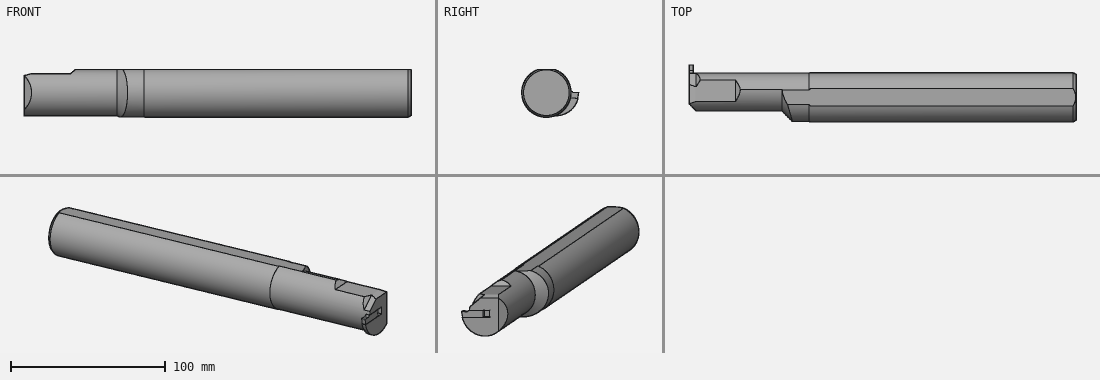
import cadquery as cq
import math

TOTAL_LENGTH = 250.0
SHANK_RADIUS = 16.0
COLLAR_RADIUS = 15.8
FLAT_HEIGHT = 15.0
SHANK_START = 77.5
END_CHAMFER_LENGTH = 2.0
END_CHAMFER_DEPTH = 1.2
COLLAR_STEP_LENGTH = 0.8

HEAD_RADIUS = 15.0
HEAD_OFFSET = 6.0
HEAD_LENGTH = 60.0
SIDE_CHAMFER = 4.8

HEAD_FLAT_HEIGHT = 12.0
HEAD_FLAT_END = 29.8
NOSE_BEVEL_LENGTH = 4.2
NOSE_BEVEL_DEPTH = 1.2
TILT = 4.5

CLEARANCE_LENGTH = 4.5
CLEARANCE_ANGLE = 42.0
CLEARANCE_Y = 9.0
CLEARANCE_Z = 9.5
CLEARANCE_DEPTH = 7.5

BLADE_THICKNESS = 2.8
TIP_Y = 21.0
INSERT_INNER_Y = 6.2
RECESS_INNER_Y = 1.8
SEAT_HEIGHT = -2.12
INSERT_HEIGHT = 4.8
RAKE_HEIGHT = 0.2
RAKE_START_Y = 17.2
RAKE_RISE_Y = 15.8
TIP_RELIEF = 0.8

SLOPE = math.tan(math.radians(TILT))
BIG = 4 * SHANK_RADIUS


def seat_z(y):
    return SEAT_HEIGHT - SLOPE * y


def insert_top_z(y):
    return seat_z(y) + INSERT_HEIGHT


def section_prism(points, length):
    """Extrude a (y, z) outline along +X from the front face."""
    return cq.Workplane("YZ").polyline(points).close().extrude(length)


def make_shank():
    """Collar and shank turned about the X axis, with the long top flat."""
    profile = [
        (0, 0),
        (0, COLLAR_RADIUS),
        (SHANK_START, COLLAR_RADIUS),
        (SHANK_START + COLLAR_STEP_LENGTH, SHANK_RADIUS),
        (TOTAL_LENGTH - END_CHAMFER_LENGTH, SHANK_RADIUS),
        (TOTAL_LENGTH, SHANK_RADIUS - END_CHAMFER_DEPTH),
        (TOTAL_LENGTH, 0),
    ]
    shank = cq.Workplane("XY").polyline(profile).close().revolve(360, (0, 0, 0), (1, 0, 0))
    above_flat = cq.Workplane("XY").box(TOTAL_LENGTH, BIG, BIG, centered=(False, True, False))
    return shank.cut(above_flat.translate((0, 0, FLAT_HEIGHT)))


def make_head_envelope():
    """Offset head cylinder opening through a 45 degree cone behind the head."""
    profile = [
        (0, 0),
        (0, HEAD_RADIUS),
        (HEAD_LENGTH, HEAD_RADIUS),
        (HEAD_LENGTH + BIG, HEAD_RADIUS + BIG),
        (TOTAL_LENGTH, HEAD_RADIUS + BIG),
        (TOTAL_LENGTH, 0),
    ]
    envelope = cq.Workplane("XY").polyline(profile).close().revolve(360, (0, 0, 0), (1, 0, 0))
    return envelope.translate((0, HEAD_OFFSET, 0))


def make_blade():
    """Thin disc segment at the front, below the insert seat."""
    disc = cq.Workplane("YZ").center(HEAD_OFFSET, 0).circle(HEAD_RADIUS).extrude(BLADE_THICKNESS)
    below_seat = section_prism(
        [(0, seat_z(0)), (BIG, seat_z(BIG)), (BIG, -BIG), (0, -BIG)], BLADE_THICKNESS)
    return disc.intersect(below_seat)


def make_head_flat_cutter():
    """Tilted top flat with a front bevel and a 45 degree run-out."""
    profile = [
        (0, -NOSE_BEVEL_DEPTH),
        (NOSE_BEVEL_LENGTH, 0),
        (HEAD_FLAT_END, 0),
        (HEAD_FLAT_END + BIG, BIG),
        (0, BIG),
    ]
    cutter = cq.Workplane("XZ").polyline(profile).close().extrude(BIG / 2, both=True)
    return cutter.rotate((0, 0, 0), (1, 0, 0), -TILT).translate((0, 0, HEAD_FLAT_HEIGHT))


def make_clearance_cutter():
    """Diagonal cut above the insert, closed by a 45 degree wall."""
    profile = [
        (0, 0),
        (CLEARANCE_LENGTH, 0),
        (CLEARANCE_LENGTH + CLEARANCE_DEPTH, CLEARANCE_DEPTH),
        (0, CLEARANCE_DEPTH),
    ]
    cutter = cq.Workplane("XZ").polyline(profile).close().extrude(BIG / 2, both=True)
    cutter = cutter.rotate((0, 0, 0), (1, 0, 0), -CLEARANCE_ANGLE)
    return cutter.translate((0, CLEARANCE_Y, CLEARANCE_Z))


def make_side_chamfer_cutter():
    side_y = HEAD_OFFSET - HEAD_RADIUS
    profile = [(0, side_y), (0, side_y + SIDE_CHAMFER), (SIDE_CHAMFER, side_y)]
    return cq.Workplane("XY").polyline(profile).close().extrude(BIG / 2, both=True)


def make_pocket_cutter():
    """Slot for the insert, running on past its inner end."""
    outline = [
        (RECESS_INNER_Y, seat_z(RECESS_INNER_Y)),
        (TIP_Y, seat_z(TIP_Y)),
        (TIP_Y, insert_top_z(TIP_Y)),
        (RECESS_INNER_Y, insert_top_z(RECESS_INNER_Y)),
    ]
    return section_prism(outline, BLADE_THICKNESS)


def make_holder():
    holder = make_shank().intersect(make_head_envelope())
    holder = holder.union(make_blade())
    holder = holder.cut(make_head_flat_cutter())
    holder = holder.cut(make_clearance_cutter())
    holder = holder.cut(make_side_chamfer_cutter())
    return holder.cut(make_pocket_cutter())


def make_insert():
    """Grooving insert with a lowered cutting tip."""
    outline = [
        (INSERT_INNER_Y, seat_z(INSERT_INNER_Y)),
        (TIP_Y - TIP_RELIEF, seat_z(TIP_Y - TIP_RELIEF)),
        (TIP_Y, RAKE_HEIGHT),
        (RAKE_START_Y, RAKE_HEIGHT),
        (RAKE_RISE_Y, insert_top_z(RAKE_RISE_Y)),
        (INSERT_INNER_Y, insert_top_z(INSERT_INNER_Y)),
    ]
    return section_prism(outline, BLADE_THICKNESS)


holder = make_holder()
insert = make_insert()
result = cq.Compound.makeCompound([holder.solids().val(), insert.val()])